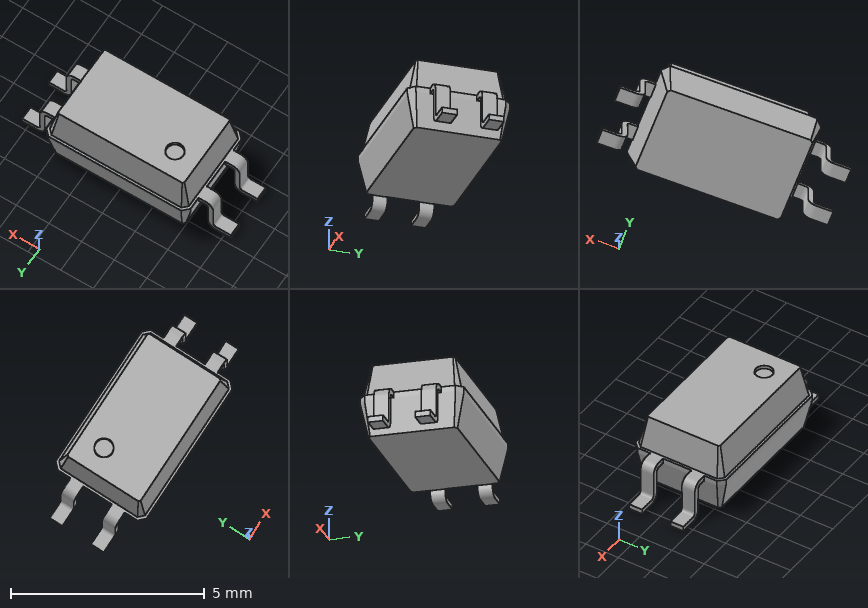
import cadquery as cq

overall_length = 6.4
overall_height = 2.1

body_length = 4.415
body_width = 2.8
body_bottom = 0.095
band_corner = 0.176
bottom_inset = 0.2
bottom_corner = 0.07
upper_base_inset = 0.08
upper_base_corner = 0.14
top_inset = 0.275
top_corner = 0.045

lead_thickness = 0.155
lead_width = 0.4
lead_pitch = 1.275
lead_span = 5.31
inner_bend = 0.095
outer_bend = inner_bend + lead_thickness
lead_top = 1.18
band_bottom = lead_top - lead_thickness

mark_diameter = 0.5
mark_depth = 0.1
mark_x = -1.23
mark_y = 0.435


def body_section(inset, corner, z):
    """Rectangle with cut corners, drawn in from the band outline by the inset."""
    section = cq.Sketch().rect(body_length - 2 * inset, body_width - 2 * inset)
    return section.vertices().chamfer(corner).moved(cq.Location(cq.Vector(0, 0, z)))


def tapered_half(lower, upper):
    return cq.Workplane("XY").placeSketch(lower, upper).loft()


def make_body():
    band_section = body_section(0, band_corner, band_bottom)
    band = cq.Workplane("XY").placeSketch(band_section).extrude(lead_thickness)
    lower_half = tapered_half(body_section(bottom_inset, bottom_corner, body_bottom), band_section)
    upper_half = tapered_half(
        body_section(upper_base_inset, upper_base_corner, lead_top),
        body_section(top_inset, top_corner, overall_height),
    )
    return band.union(lower_half).union(upper_half)


def make_lead(y):
    """Lead on the -X side, bent down from the band and out to a flat foot."""
    tip = -overall_length / 2
    outer_face = -lead_span / 2
    inner_face = outer_face + lead_thickness
    root = -body_length / 2 + upper_base_inset
    return (
        cq.Workplane("XZ", origin=(0, y + lead_width / 2, 0))
        .moveTo(tip, 0)
        .lineTo(inner_face - outer_bend, 0)
        .radiusArc((inner_face, outer_bend), -outer_bend)
        .lineTo(inner_face, band_bottom - inner_bend)
        .radiusArc((inner_face + inner_bend, band_bottom), inner_bend)
        .lineTo(root, band_bottom)
        .lineTo(root, lead_top)
        .lineTo(outer_face + outer_bend, lead_top)
        .radiusArc((outer_face, lead_top - outer_bend), -outer_bend)
        .lineTo(outer_face, lead_thickness + inner_bend)
        .radiusArc((outer_face - inner_bend, lead_thickness), inner_bend)
        .lineTo(tip, lead_thickness)
        .close()
        .extrude(lead_width)
    )


result = make_body()
for lead_y in (-lead_pitch / 2, lead_pitch / 2):
    lead = make_lead(lead_y)
    result = result.union(lead).union(lead.mirror("YZ"))

pin_mark = (
    cq.Workplane("XY", origin=(mark_x, mark_y, overall_height - mark_depth))
    .circle(mark_diameter / 2)
    .extrude(mark_depth)
)
result = result.cut(pin_mark)